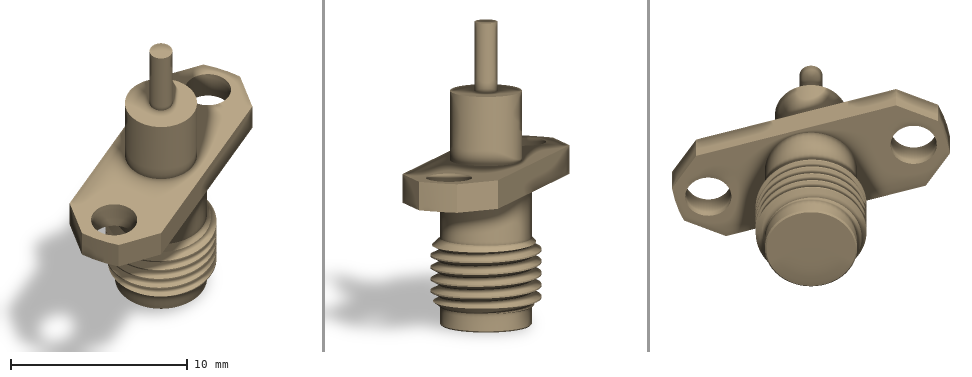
import cadquery as cq
import math

pin_length = 3.99
dielectric_length = 3.99
total_height = 17.5
flange_thickness = 1.65
dielectric_top = total_height - pin_length
flange_top = dielectric_top - dielectric_length
flange_bottom = flange_top - flange_thickness

pin_diameter = 1.3
dielectric_diameter = 4.1
barrel_radius = 2.62
barrel_chamfer = 0.09

flange_width = 5.78
flange_length = 15.98
flange_end_width = 2.31
flange_straight_length = 11.86
hole_diameter = 2.62
hole_spacing = 12.2

thread_bottom = 1.08
thread_top = 5.04
thread_diameter = 6.32
thread_radius = thread_diameter / 2
thread_pitch = 0.68
crest_width = 0.09
root_gap = 0.02
lower_lead_in = 0.47
upper_lead_in = 0.6
crest_height_at_x = 4.3
root_embed = 0.04
run_out_turns = 1
trim_clearance = 0.07


def cylinder(radius, bottom, top):
    return cq.Workplane("XY").workplane(offset=bottom).circle(radius).extrude(top - bottom)


def make_flange():
    half_width = flange_width / 2
    half_end = flange_end_width / 2
    half_straight = flange_straight_length / 2
    end_radius = flange_length / 2
    end_y = math.sqrt(end_radius**2 - half_end**2)
    return (
        cq.Workplane("XY")
        .workplane(offset=flange_bottom)
        .moveTo(half_width, -half_straight)
        .lineTo(half_width, half_straight)
        .lineTo(half_end, end_y)
        .threePointArc((0, end_radius), (-half_end, end_y))
        .lineTo(-half_width, half_straight)
        .lineTo(-half_width, -half_straight)
        .lineTo(-half_end, -end_y)
        .threePointArc((0, -end_radius), (half_end, -end_y))
        .close()
        .extrude(flange_thickness)
        .faces(">Z")
        .workplane(origin=(0, 0, flange_top))
        .pushPoints([(0, -hole_spacing / 2), (0, hole_spacing / 2)])
        .hole(hole_diameter)
    )


def make_thread():
    """Helical ridge trimmed by a cone at each end."""
    turns_below = math.ceil((crest_height_at_x - thread_bottom) / thread_pitch) + run_out_turns
    turns_above = math.ceil((thread_top - crest_height_at_x) / thread_pitch) + run_out_turns
    start_z = crest_height_at_x - turns_below * thread_pitch
    length = (turns_below + turns_above) * thread_pitch
    base_radius = barrel_radius - root_embed
    half_base = (thread_pitch - root_gap) / 2
    half_crest = crest_width / 2
    helix = cq.Wire.makeHelix(thread_pitch, length, barrel_radius).translate(cq.Vector(0, 0, start_z))
    ridge = (
        cq.Workplane("XZ")
        .polyline([
            (base_radius, start_z - half_base),
            (thread_radius, start_z - half_crest),
            (thread_radius, start_z + half_crest),
            (base_radius, start_z + half_base),
        ])
        .close()
        .sweep(cq.Workplane(obj=helix), isFrenet=True)
    )
    trim_radius = thread_radius + trim_clearance
    envelope = (
        cq.Workplane("XZ")
        .polyline([
            (0, thread_bottom),
            (barrel_radius, thread_bottom),
            (trim_radius, thread_bottom + lower_lead_in),
            (trim_radius, thread_top - upper_lead_in),
            (barrel_radius, thread_top),
            (0, thread_top),
        ])
        .close()
        .revolve(360, (0, 0), (0, 1))
    )
    return ridge.intersect(envelope)


barrel = cylinder(barrel_radius, 0, flange_bottom).faces("<Z").chamfer(barrel_chamfer)
dielectric = cylinder(dielectric_diameter / 2, flange_top, dielectric_top)
pin = cylinder(pin_diameter / 2, dielectric_top, total_height)

result = barrel.union(make_thread()).union(make_flange()).union(dielectric).union(pin)